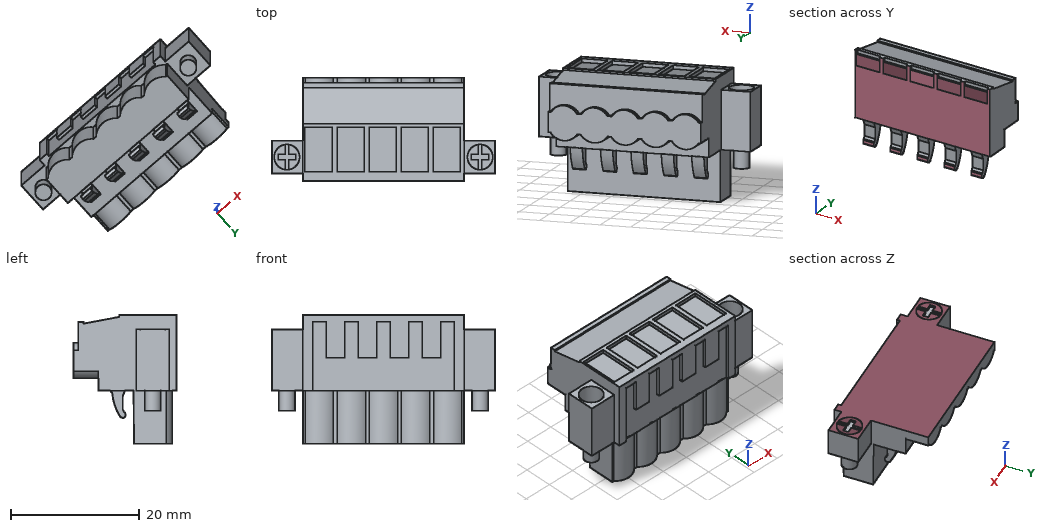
import cadquery as cq


pole_count = 5
pitch = 5.0
body_width = 25.1
pole_centres = [(i - (pole_count - 1) / 2) * pitch for i in range(pole_count)]

body_height = 11.8
top_face_depth = 8.95
slope_high_z = 11.5
slope_low_z = 10.45
lip_front_y = 14.5
lip_top_z = 10.7
back_wall_y = 15.35
back_ledge_y = 16.1
back_ledge_top_z = 6.3
back_ledge_bottom_z = 3.05
underside_depth = 12.2

entry_chord = 4.42
entry_top_z = 7.48
entry_bottom_z = 1.9

plug_length = 8.3
plug_front_y = 1.6
plug_back_y = 6.75
plug_back_taper = 0.1
barrel_front_y = 0.65
barrel_chord = 4.42

recess_depth = 0.5
recess_top_z = 10.75
recess_tooth_root_z = 5.15
recess_tooth_width = 2.1

window_width = 4.22
window_front_y = 1.45
window_back_y = 8.35
window_offset_x = -0.12
button_sink = 0.6
button_thickness = 2.0

overall_width = 34.8
flange_front_y = 1.17
flange_back_y = 6.3
flange_height = 9.55
flange_width = (overall_width - body_width) / 2

screw_spacing = 30.1
screw_y = (flange_front_y + flange_back_y) / 2
screw_head_diameter = 3.95
screw_head_thickness = 2.0
screw_head_bottom_z = 3.0
screw_shank_diameter = 2.55
screw_tip_z = -3.15
screw_slot_depth = 0.6
long_slot_width = 0.55
short_slot_width = 0.85
short_slot_length = 2.7

hook_width = 2.0
hook_root_back_y = 10.4
hook_root_front_y = 8.05
hook_neck_front_y = 8.4
hook_neck_top_z = -0.9
hook_neck_bottom_z = -2.9
hook_nose_radius = 0.48
hook_nose_y = 8.42
hook_nose_z = -3.82
hook_back_bottom = (8.8, -4.1)
hook_back_middle = (9.5, -2.75)
hook_back_top = (10.05, -0.4)


def box(x_range, y_range, z_range):
    """Box spanning the given (low, high) ranges."""
    size = [high - low for low, high in (x_range, y_range, z_range)]
    corner = (x_range[0], y_range[0], z_range[0])
    return cq.Workplane("XY").box(*size, centered=False).translate(corner)


def span(centre, width):
    """(low, high) range of a width placed about a centre."""
    return (centre - width / 2, centre + width / 2)


def cylinder(x, y, diameter, z_range):
    """Vertical cylinder between two heights."""
    low, high = z_range
    return cq.Workplane("XY", origin=(x, y, low)).circle(diameter / 2).extrude(high - low)


def body_block():
    """Housing block and plug slab, one profile swept across the full body width."""
    profile = [
        (0, 0),
        (0, body_height),
        (top_face_depth, body_height),
        (top_face_depth, slope_high_z),
        (lip_front_y, slope_low_z),
        (lip_front_y, lip_top_z),
        (back_wall_y, lip_top_z),
        (back_wall_y, back_ledge_top_z),
        (back_ledge_y, back_ledge_top_z),
        (back_ledge_y, back_ledge_bottom_z),
        (underside_depth, back_ledge_bottom_z),
        (underside_depth, 0),
        (plug_back_y, 0),
        (plug_back_y - plug_back_taper, -plug_length),
        (plug_front_y, -plug_length),
        (plug_front_y, 0),
    ]
    return cq.Workplane("YZ").polyline(profile).close().extrude(body_width / 2, both=True)


def arc_segment(plane, chord, base, crest):
    """Circular segment: flat side at height base, arc rising or falling to height crest."""
    half_chord = chord / 2
    outline = plane.moveTo(-half_chord, base).threePointArc((0, crest), (half_chord, base))
    return outline.close()


def plug_barrel(x):
    """Rounded front of one plug pole, standing on the slab."""
    plane = cq.Workplane("XY", origin=(x, 0, -plug_length))
    return arc_segment(plane, barrel_chord, plug_front_y, barrel_front_y).extrude(plug_length)


def wire_entry(x):
    """Rounded ribs above and below the back ledge."""
    length = back_ledge_y - underside_depth
    plane = cq.Workplane("XZ", origin=(x, back_ledge_y, 0))
    upper = arc_segment(plane, entry_chord, back_ledge_top_z, entry_top_z).extrude(length)
    lower = arc_segment(plane, entry_chord, back_ledge_bottom_z, entry_bottom_z).extrude(length)
    return upper.union(lower)


def latch_hook(x):
    """Curved latch that tapers downwards and ends in a rounded nose."""
    plane = cq.Workplane("YZ", origin=(x, 0, 0))
    nose_front = (hook_nose_y - hook_nose_radius, hook_nose_z)
    nose_bottom = (hook_nose_y, hook_nose_z - hook_nose_radius)
    outline = (
        plane.moveTo(hook_root_front_y, 0)
        .lineTo(hook_neck_front_y, hook_neck_top_z)
        .lineTo(hook_neck_front_y, hook_neck_bottom_z)
        .lineTo(hook_nose_y - hook_nose_radius / 2, hook_nose_z + hook_nose_radius)
        .threePointArc(nose_front, nose_bottom)
        .lineTo(*hook_back_bottom)
        .threePointArc(hook_back_middle, hook_back_top)
        .lineTo(hook_root_back_y, 0)
        .close()
    )
    return outline.extrude(hook_width / 2, both=True)


def front_recess():
    """Comb-shaped recess: open at the bottom, with one tooth per pole."""
    depth_range = (0, recess_depth)
    comb_width = (pole_count - 1) * pitch + recess_tooth_width
    comb = box(span(0, comb_width), depth_range, (0, recess_tooth_root_z))
    for x in pole_centres:
        comb = comb.union(box(span(x, recess_tooth_width), depth_range, (0, recess_top_z)))
    return comb


def window_block(x, z_range):
    """Block with the outline of one top window, between two heights."""
    return box(span(x + window_offset_x, window_width), (window_front_y, window_back_y), z_range)


def flange(side):
    """Screw flange on one end of the body."""
    centre_x = side * (body_width + flange_width) / 2
    return box(span(centre_x, flange_width), (flange_front_y, flange_back_y), (0, flange_height))


def screw_hole(x):
    """Counterbored hole that the screw fills up to its head."""
    shank_hole = cylinder(x, screw_y, screw_shank_diameter, (0, screw_head_bottom_z))
    head_hole = cylinder(x, screw_y, screw_head_diameter, (screw_head_bottom_z, flange_height))
    return shank_hole.union(head_hole)


def make_housing():
    housing = body_block()
    for x in pole_centres:
        housing = housing.union(plug_barrel(x)).union(wire_entry(x)).union(latch_hook(x))
    for side in (-1, 1):
        housing = housing.union(flange(side)).cut(screw_hole(side * screw_spacing / 2))
    housing = housing.cut(front_recess())
    window_floor_z = body_height - button_sink - button_thickness
    for x in pole_centres:
        housing = housing.cut(window_block(x, (window_floor_z, body_height)))
    return housing


def make_button(x):
    """Rectangular button, its top face sunk below the top of the housing."""
    top_z = body_height - button_sink
    return window_block(x, (top_z - button_thickness, top_z))


def make_screw(x):
    """Cheese-head screw with a cross slot: one slot runs right across, the other is short."""
    head_top_z = screw_head_bottom_z + screw_head_thickness
    shank = cylinder(x, screw_y, screw_shank_diameter, (screw_tip_z, screw_head_bottom_z))
    head = cylinder(x, screw_y, screw_head_diameter, (screw_head_bottom_z, head_top_z))
    slot_z = (head_top_z - screw_slot_depth, head_top_z)
    long_slot = box(span(x, long_slot_width), span(screw_y, screw_head_diameter), slot_z)
    short_slot = box(span(x, short_slot_length), span(screw_y, short_slot_width), slot_z)
    return shank.union(head).cut(long_slot).cut(short_slot)


housing = make_housing()
buttons = [make_button(x) for x in pole_centres]
screws = [make_screw(side * screw_spacing / 2) for side in (-1, 1)]

result = cq.Compound.makeCompound(
    [housing.val(), *[button.val() for button in buttons], *[screw.val() for screw in screws]]
)